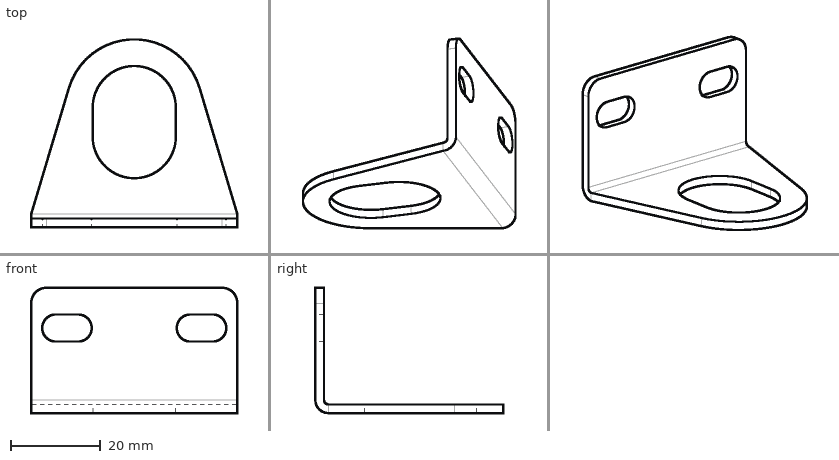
import cadquery as cq
import math

width = 46.0
depth = 41.95
height = 28.0
thickness = 2.0
inner_bend_radius = 1.0
outer_bend_radius = inner_bend_radius + thickness

corner_radius = 3.5
slot_length = 11.0
slot_height = 6.0
slot_offset = 15.0
slot_below_top = 9.0

opening_width = 18.5
opening_length = 25.0
opening_rim = 6.0
end_radius = opening_width / 2 + opening_rim
end_center_y = depth - end_radius
opening_center_y = depth - opening_rim - opening_length / 2


def make_angle():
    """L-shaped bent sheet, with its outer bend faces on Y = 0 and Z = 0."""
    return (
        cq.Workplane("YZ")
        .rect(depth, height, centered=False)
        .extrude(width / 2, both=True)
        .edges("|X and <Y and <Z")
        .fillet(outer_bend_radius)
        .cut(
            cq.Workplane("YZ")
            .moveTo(thickness, thickness)
            .rect(depth, height, centered=False)
            .extrude(width / 2, both=True)
            .edges("|X and <Y and <Z")
            .fillet(inner_bend_radius)
        )
        .edges("|Y and >Z")
        .fillet(corner_radius)
    )


def make_plan_outline():
    """Full-height prism whose sides taper from the bend to touch the round end."""
    half_width = width / 2
    rise = end_center_y - outer_bend_radius
    corner_distance = math.hypot(half_width, rise)
    tangent_angle = math.acos(end_radius / corner_distance) - math.atan2(rise, half_width)
    tangent_x = end_radius * math.cos(tangent_angle)
    tangent_y = end_center_y + end_radius * math.sin(tangent_angle)
    return (
        cq.Workplane("XY")
        .moveTo(-half_width, 0)
        .lineTo(half_width, 0)
        .lineTo(half_width, outer_bend_radius)
        .lineTo(tangent_x, tangent_y)
        .threePointArc((0, depth), (-tangent_x, tangent_y))
        .lineTo(-half_width, outer_bend_radius)
        .close()
        .extrude(height)
    )


def make_mounting_slots():
    """Two horizontal slots through the upright plate."""
    slot_z = height - slot_below_top
    return (
        cq.Workplane("XZ")
        .pushPoints([(side * slot_offset, slot_z) for side in (-1, 1)])
        .slot2D(slot_length, slot_height)
        .extrude(-thickness)
    )


def make_opening():
    """Elongated hole through the base plate, lengthwise along Y."""
    return (
        cq.Workplane("XY")
        .center(0, opening_center_y)
        .slot2D(opening_length, opening_width, 90)
        .extrude(thickness)
    )


result = (
    make_angle()
    .intersect(make_plan_outline())
    .cut(make_mounting_slots())
    .cut(make_opening())
)